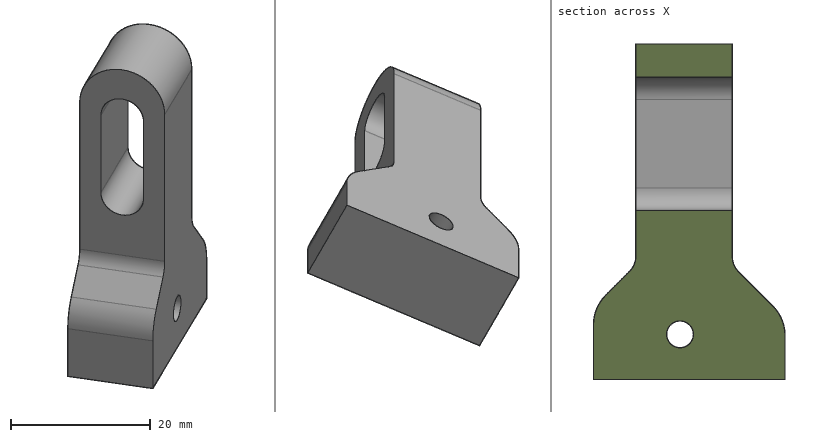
import cadquery as cq

width = 12.7
depth = 27.45
height = 48.05

front_ledge = 6.05
column_depth = 13.85
front_shoulder_height = 10.35
rear_shoulder_height = 8.8
shoulder_radius = 6.0
neck_radius = 3.0

slot_width = 6.35
slot_length = 19.05
slot_top_wall = 4.8
slot_center_height = height - slot_top_wall - slot_length / 2
hole_diameter = 3.8
hole_height = 6.5
hole_from_front = 12.4

front_y = -depth / 2
rear_y = depth / 2
column_front_y = front_y + front_ledge
column_rear_y = column_front_y + column_depth
rear_ledge = rear_y - column_rear_y


def side_profile_body():
    """Foot and column, with 45 degree shoulders rounded at both ends."""
    front_neck_height = front_shoulder_height + front_ledge
    rear_neck_height = rear_shoulder_height + rear_ledge
    body = (
        cq.Workplane("YZ")
        .moveTo(front_y, 0)
        .lineTo(rear_y, 0)
        .lineTo(rear_y, rear_shoulder_height)
        .lineTo(column_rear_y, rear_neck_height)
        .lineTo(column_rear_y, height)
        .lineTo(column_front_y, height)
        .lineTo(column_front_y, front_neck_height)
        .lineTo(front_y, front_shoulder_height)
        .close()
        .extrude(width / 2, both=True)
    )

    def round_corners(solid, corners, radius):
        for y, z in corners:
            edge = cq.selectors.NearestToPointSelector((0, y, z))
            solid = solid.edges("|X").edges(edge).fillet(radius)
        return solid

    shoulders = [(front_y, front_shoulder_height), (rear_y, rear_shoulder_height)]
    necks = [(column_front_y, front_neck_height), (column_rear_y, rear_neck_height)]
    body = round_corners(body, shoulders, shoulder_radius)
    return round_corners(body, necks, neck_radius)


def rounded_top_envelope():
    """Full-depth outline whose top is a half circle across the width."""
    half_width = width / 2
    return (
        cq.Workplane("XZ")
        .moveTo(-half_width, 0)
        .lineTo(half_width, 0)
        .lineTo(half_width, height - half_width)
        .threePointArc((0, height), (-half_width, height - half_width))
        .close()
        .extrude(depth / 2, both=True)
    )


def adjustment_slot():
    """Vertical slot passing through the column front to back."""
    return (
        cq.Workplane("XZ")
        .center(0, slot_center_height)
        .slot2D(slot_length, slot_width, 90)
        .extrude(depth / 2, both=True)
    )


def cross_hole():
    """Round hole passing through the foot across its width."""
    return (
        cq.Workplane("YZ")
        .center(front_y + hole_from_front, hole_height)
        .circle(hole_diameter / 2)
        .extrude(width / 2, both=True)
    )


body = side_profile_body().intersect(rounded_top_envelope())
result = body.cut(adjustment_slot()).cut(cross_hole())